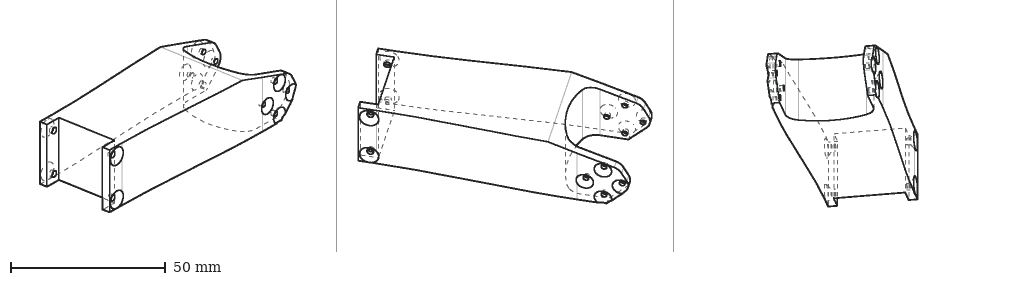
import cadquery as cq
import math


fork_width = 35.0
neck_width = 29.5
wall = 3.0
length = 90.1
height = 23.0
tip_y = 8.4
bottom_z = -8.4
top_z = bottom_z + height
back_y = tip_y - length

flare_front_y = -8.7
flare_back_y = back_y + 6.0

slope_top_y = -18.3
tip_corner_y = 5.3
tip_corner_z = 7.48
tip_radius = 4.2
tip_upper_angle = 61.0
tip_lower_angle = 46.0

opening_depth_y = -15.7
opening_arc_radius = 28.0
opening_corner_radius = 5.5

horn_hole_diameter = 1.8
horn_sink_diameter = 5.75
horn_circle_radius = 6.0
horn_hole_count = 4
neck_hole_diameter = 2.2
neck_sink_diameter = 6.4
neck_hole_y = back_y + 3.65
neck_hole_low_z = bottom_z + 3.2
neck_hole_spacing = 16.0
sink_angle = 101.0
sink_overrun = 0.2


def make_body():
    """Plan outline with smooth S-shaped flanks that leave both ends parallel to Y."""
    fork_x = fork_width / 2
    neck_x = neck_width / 2
    blank_end_y = tip_y + tip_radius
    outline = (
        cq.Workplane("XY", origin=(0, 0, bottom_z))
        .moveTo(-neck_x, back_y)
        .lineTo(neck_x, back_y)
        .lineTo(neck_x, flare_back_y)
        .spline([(fork_x, flare_front_y)], tangents=[(0, 1), (0, 1)], includeCurrent=True)
        .lineTo(fork_x, blank_end_y)
        .lineTo(-fork_x, blank_end_y)
        .lineTo(-fork_x, flare_front_y)
        .spline([(-neck_x, flare_back_y)], tangents=[(0, -1), (0, -1)], includeCurrent=True)
        .close()
    )
    return outline.extrude(height)


def make_side_profile():
    """Side silhouette, with two rounded corners at the tip, extruded over the full width."""
    upper_angle = math.radians(tip_upper_angle)
    lower_angle = math.radians(tip_lower_angle)
    half_corner = (upper_angle + lower_angle) / 2
    lean = (upper_angle - lower_angle) / 2
    apex_y = tip_y - tip_radius + tip_radius * math.cos(lean) / math.sin(half_corner)
    apex_z = tip_corner_z - (apex_y - tip_corner_y) * math.tan(upper_angle)
    chamfer_end_y = apex_y - (apex_z - bottom_z) / math.tan(lower_angle)
    profile = (
        cq.Workplane("YZ", origin=(-fork_width / 2, 0, 0))
        .moveTo(back_y, bottom_z)
        .lineTo(chamfer_end_y, bottom_z)
        .lineTo(apex_y, apex_z)
        .lineTo(tip_corner_y, tip_corner_z)
        .lineTo(slope_top_y, top_z)
        .lineTo(back_y, top_z)
        .close()
        .extrude(fork_width)
    )
    for corner_y, corner_z in ((tip_corner_y, tip_corner_z), (apex_y, apex_z)):
        corner = cq.selectors.NearestToPointSelector((0, corner_y, corner_z))
        profile = profile.edges("|X").edges(corner).fillet(tip_radius)
    return profile


def make_fork_opening():
    """Space between the fork arms, closed by a shallow arc with rounded corners."""
    half_width = fork_width / 2 - wall
    arc_center_y = opening_depth_y + opening_arc_radius
    arc_end_y = arc_center_y - math.sqrt(opening_arc_radius**2 - half_width**2)
    opening = (
        cq.Workplane("XY", origin=(0, 0, bottom_z))
        .moveTo(-half_width, tip_y)
        .lineTo(-half_width, arc_end_y)
        .threePointArc((0, opening_depth_y), (half_width, arc_end_y))
        .lineTo(half_width, tip_y)
        .close()
        .extrude(height)
    )
    return opening.edges("|Z and (not >Y)").fillet(opening_corner_radius)


def make_neck_slot():
    """Open slot that leaves two tabs at the narrow end."""
    slot_width = neck_width - 2 * wall
    slot_depth = flare_back_y - back_y
    slot = cq.Workplane("XY", origin=(0, back_y, bottom_z))
    return slot.box(slot_width, slot_depth, height, centered=(True, False, False))


def make_screw_pair(y, z, outer_x, hole_diameter, sink_diameter):
    """Screw hole along X through both sides, countersunk from each outer face."""
    hole_radius = hole_diameter / 2
    sink_radius = sink_diameter / 2
    sink_slope = math.tan(math.radians(sink_angle / 2))
    sink_depth = (sink_radius - hole_radius) / sink_slope
    along_x = cq.Vector(1, 0, 0)
    cutter = cq.Solid.makeCylinder(hole_radius, wall, cq.Vector(-outer_x, y, z), along_x).fuse(
        cq.Solid.makeCylinder(hole_radius, wall, cq.Vector(outer_x - wall, y, z), along_x)
    )
    for side in (-1, 1):
        sink = cq.Solid.makeCone(
            sink_radius + sink_overrun * sink_slope,
            hole_radius,
            sink_depth + sink_overrun,
            cq.Vector(side * (outer_x + sink_overrun), y, z),
            along_x * -side,
        )
        cutter = cutter.fuse(sink)
    return cutter


result = make_body().intersect(make_side_profile())
result = result.cut(make_fork_opening()).cut(make_neck_slot())

for index in range(horn_hole_count):
    angle = 2 * math.pi * index / horn_hole_count
    hole_y = horn_circle_radius * math.cos(angle)
    hole_z = horn_circle_radius * math.sin(angle)
    result = result.cut(
        make_screw_pair(hole_y, hole_z, fork_width / 2, horn_hole_diameter, horn_sink_diameter)
    )

for hole_z in (neck_hole_low_z, neck_hole_low_z + neck_hole_spacing):
    result = result.cut(
        make_screw_pair(neck_hole_y, hole_z, neck_width / 2, neck_hole_diameter, neck_sink_diameter)
    )